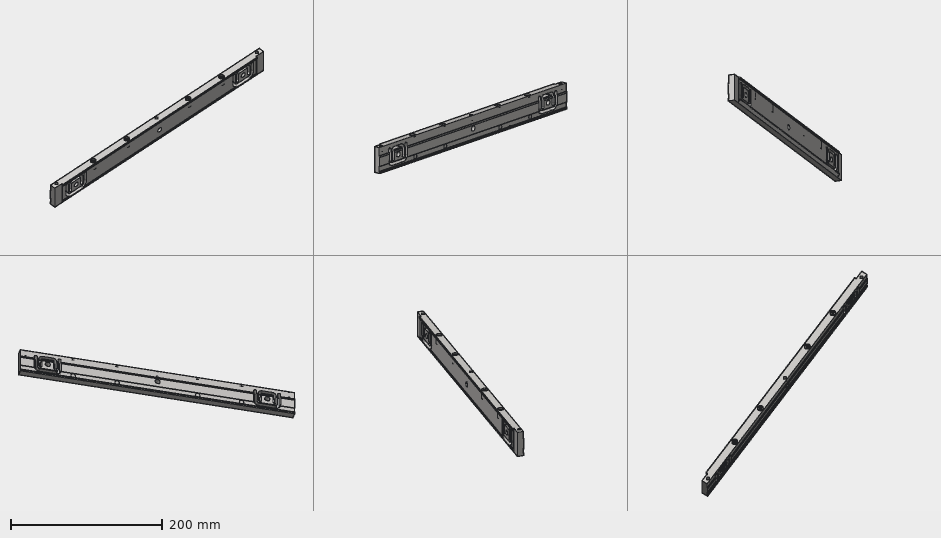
import cadquery as cq
import math

LENGTH = 375.0
HEIGHT = 36.0
FULL_WIDTH = 12.0
END_WIDTH = 9.5
BACK_X = 10.5
END_STEP = 13.0

FACE_STEP = 1.0
FOOT_TOP = 3.0
PAD_BOTTOM = 9.8
PAD_TOP = 24.8
PAD_BAND_BOTTOM = 22.5
FOOT_BAND_BOTTOM = 2.0
BAND_RELIEF = 0.2

TOP_LIP_BOTTOM = 33.5
TOP_LIP_CHAMFER = 0.55
BOTTOM_LIP_TOP = 5.2

CLIP_Y = 150.0
SLOT_WIDTH = 4.0
OUTER_SLOT_SPAN = 32.5
OUTER_SLOT_Z = 7.0
OUTER_SLOT_END_Z = 28.5
OUTER_SLOT_CORNER = 7.5
INNER_SLOT_SPAN = 20.2
INNER_SLOT_Z = 28.5
INNER_SLOT_END_Z = 14.0
INNER_SLOT_CORNER = 5.2

CROSS_HOLE_DIAMETER = 6.8
CROSS_HOLE_Z = HEIGHT / 2

DRILL_POINT_ANGLE = 118.0
TOP_HOLE_DIAMETER = 4.0
TOP_HOLE_DEPTH = 7.5
TOP_HOLE_X = 4.5
TOP_HOLE_Y = 180.0

INNER_STATION_Y = 55.0
OUTER_STATION_Y = 115.0
SCREW_X = FULL_WIDTH / 2
SCREW_DIAMETER = 7.5
SCREW_LENGTH = 11.2
SCREW_CHAMFER = 0.55
SCREW_SINK = 2.0
SOCKET_FLATS = 3.0
SOCKET_DEPTH = 3.5
PIN_DIAMETER = 6.0
PIN_Z = 6.5
PIN_LENGTH = 4.5

CLIP_PLACES = [-CLIP_Y, CLIP_Y]
CROSS_HOLE_PLACES = [-CLIP_Y, 0, CLIP_Y]
TOP_HOLE_PLACES = [-TOP_HOLE_Y, 0, TOP_HOLE_Y]
STATIONS = [-OUTER_STATION_Y, -INNER_STATION_Y, INNER_STATION_Y, OUTER_STATION_Y]


def extrude_along_y(points, length):
    """Extrude an XZ outline by the given length, centred on Y = 0."""
    return cq.Workplane("XZ").polyline(points).close().extrude(length / 2, both=True)


def cylinder_along_x(start_x, y, z, diameter, length):
    return cq.Workplane("YZ", origin=(start_x, y, z)).circle(diameter / 2).extrude(length)


def drilled_hole(x, y, top_z, diameter, depth):
    """Vertical hole with a conical drill point below its full-diameter depth."""
    radius = diameter / 2
    point_depth = radius / math.tan(math.radians(DRILL_POINT_ANGLE / 2))
    outline = [(0, 0), (radius, 0), (radius, -depth), (0, -depth - point_depth)]
    hole = cq.Workplane("XZ").polyline(outline).close().revolve(360, (0, 0, 0), (0, 1, 0))
    return hole.translate((x, y, top_z))


def bar():
    """Full-length core with the shorter back section that carries the two lips."""
    core_outline = [
        (BAND_RELIEF, 0),
        (BAND_RELIEF, FOOT_BAND_BOTTOM),
        (0, FOOT_BAND_BOTTOM),
        (0, FOOT_TOP),
        (FACE_STEP, FOOT_TOP),
        (FACE_STEP, PAD_BOTTOM),
        (BAND_RELIEF, PAD_BOTTOM),
        (BAND_RELIEF, PAD_BAND_BOTTOM),
        (0, PAD_BAND_BOTTOM),
        (0, PAD_TOP),
        (FACE_STEP, PAD_TOP),
        (FACE_STEP, HEIGHT),
        (END_WIDTH, HEIGHT),
        (END_WIDTH, 0),
    ]
    back_outline = [
        (END_WIDTH, 0),
        (END_WIDTH, HEIGHT),
        (FULL_WIDTH - TOP_LIP_CHAMFER, HEIGHT),
        (FULL_WIDTH, HEIGHT - TOP_LIP_CHAMFER),
        (FULL_WIDTH, TOP_LIP_BOTTOM),
        (BACK_X, TOP_LIP_BOTTOM),
        (BACK_X, BOTTOM_LIP_TOP),
        (FULL_WIDTH, BOTTOM_LIP_TOP),
    ]
    core = extrude_along_y(core_outline, LENGTH)
    return core.union(extrude_along_y(back_outline, LENGTH - 2 * END_STEP))


def u_slot(span, arm_length, corner_radius):
    """U-shaped slot opening upward, with the centre line of its cross bar on Z = 0."""
    half_width = SLOT_WIDTH / 2
    half_span = span / 2
    bend_radius = corner_radius - half_width
    bend_middle = bend_radius * (1 - math.sqrt(0.5))
    centre_line = (
        cq.Workplane("YZ")
        .moveTo(-half_span, arm_length)
        .lineTo(-half_span, bend_radius)
        .threePointArc((-half_span + bend_middle, bend_middle), (-half_span + bend_radius, 0))
        .lineTo(half_span - bend_radius, 0)
        .threePointArc((half_span - bend_middle, bend_middle), (half_span, bend_radius))
        .lineTo(half_span, arm_length)
    )
    return centre_line.offset2D(half_width, "arc").extrude(FULL_WIDTH)


def clip_slots(y):
    """Outer slot opening upward, and inside it the inner slot opening downward."""
    outer = u_slot(OUTER_SLOT_SPAN, OUTER_SLOT_END_Z - OUTER_SLOT_Z, OUTER_SLOT_CORNER)
    inner = u_slot(INNER_SLOT_SPAN, INNER_SLOT_Z - INNER_SLOT_END_Z, INNER_SLOT_CORNER).mirror("XY")
    return outer.translate((0, y, OUTER_SLOT_Z)).add(inner.translate((0, y, INNER_SLOT_Z)))


def screw_blank(y, top_z, length):
    return cq.Workplane("XY", origin=(SCREW_X, y, top_z)).circle(SCREW_DIAMETER / 2).extrude(-length)


def set_screw(y):
    """Screw with a chamfered end and a drilled hexagon socket."""
    top_z = HEIGHT - SCREW_SINK
    socket_diameter = SOCKET_FLATS / math.cos(math.pi / 6)
    socket = cq.Workplane("XY", origin=(SCREW_X, y, top_z)).polygon(6, socket_diameter).extrude(-SOCKET_DEPTH)
    blank = screw_blank(y, top_z, SCREW_LENGTH).faces(">Z").chamfer(SCREW_CHAMFER)
    return blank.cut(socket).cut(drilled_hole(SCREW_X, y, top_z, SOCKET_FLATS, SOCKET_DEPTH))


def pin(y):
    """Pin flush with the set-back front face."""
    return cylinder_along_x(FACE_STEP, y, PIN_Z, PIN_DIAMETER, PIN_LENGTH)


def rail():
    body = bar()
    for y in CLIP_PLACES:
        for slot in clip_slots(y).vals():
            body = body.cut(cq.Workplane(slot))
    for y in CROSS_HOLE_PLACES:
        body = body.cut(cylinder_along_x(0, y, CROSS_HOLE_Z, CROSS_HOLE_DIAMETER, FULL_WIDTH))
    for y in TOP_HOLE_PLACES:
        body = body.cut(drilled_hole(TOP_HOLE_X, y, HEIGHT, TOP_HOLE_DIAMETER, TOP_HOLE_DEPTH))
    for y in STATIONS:
        body = body.cut(screw_blank(y, HEIGHT, SCREW_SINK + SCREW_LENGTH))
        body = body.cut(pin(y))
    return body


set_screws = [set_screw(y).val() for y in STATIONS]
pins = [pin(y).val() for y in STATIONS]
result = cq.Compound.makeCompound([rail().val(), *set_screws, *pins])